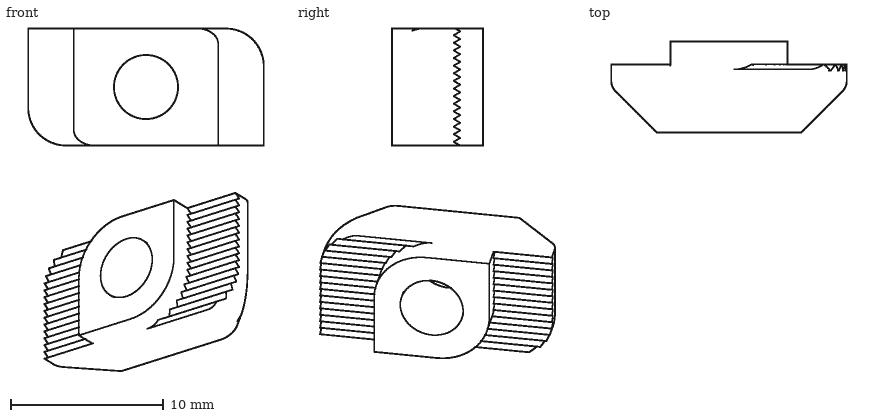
import cadquery as cq
import math

length = 15.5
width = 7.7
total_thickness = 6.0
flange_thickness = 4.5
bevel = 3.0
corner_radius = 2.5
bevel_fillet = 1.0
boss_radius = 3.5
hole_diameter = 4.2
tooth_pitch = 0.5
tooth_depth = tooth_pitch * math.sin(math.radians(60))

half_length = length / 2
half_width = width / 2
bottom_half_length = half_length - bevel


def make_flange():
    """Bevelled bar, rounded at its +X+Z and -X-Z corners and along its bevels."""
    bar = (
        cq.Workplane("XY", origin=(0, 0, -half_width))
        .moveTo(-bottom_half_length, 0)
        .lineTo(bottom_half_length, 0)
        .lineTo(half_length, bevel)
        .lineTo(half_length, flange_thickness)
        .lineTo(-half_length, flange_thickness)
        .lineTo(-half_length, bevel)
        .close()
        .extrude(width)
    )
    for side in (-1, 1):
        corner = (side * half_length, flange_thickness, side * half_width)
        bar = bar.edges("|Y").edges(cq.NearestToPointSelector(corner)).fillet(corner_radius)
    for side in (-1, 1):
        bevel_edge = (side * half_length, bevel, 0)
        bar = bar.edges("|Z").edges(cq.NearestToPointSelector(bevel_edge)).fillet(bevel_fillet)
    return bar


def make_grooves(side):
    """V grooves along X over one half, with a crest at its square corner."""
    groove_count = math.ceil(width / tooth_pitch)
    first_crest = -side * half_width
    step = side * tooth_pitch
    comb = cq.Workplane("YZ").moveTo(flange_thickness, first_crest)
    for index in range(groove_count):
        crest = first_crest + index * step
        comb = comb.lineTo(flange_thickness - tooth_depth, crest + step / 2)
        comb = comb.lineTo(flange_thickness, crest + step)
    last_crest = first_crest + groove_count * step
    return (
        comb.lineTo(total_thickness, last_crest)
        .lineTo(total_thickness, first_crest)
        .close()
        .extrude(side * half_length)
    )


def make_boss():
    """Square boss, rooted below the teeth, with two rounded corners."""
    root = flange_thickness - tooth_depth
    boss = cq.Workplane("XY").box(width, total_thickness - root, width)
    boss = boss.translate((0, (total_thickness + root) / 2, 0))
    for side in (-1, 1):
        corner = (side * half_width, total_thickness, side * half_width)
        boss = boss.edges("|Y").edges(cq.NearestToPointSelector(corner)).fillet(boss_radius)
    return boss


def make_hole():
    """Through hole along Y."""
    return cq.Workplane("XZ").circle(hole_diameter / 2).extrude(-total_thickness)


flange = make_flange()
for end in (-1, 1):
    flange = flange.cut(make_grooves(end))

result = flange.union(make_boss()).cut(make_hole())